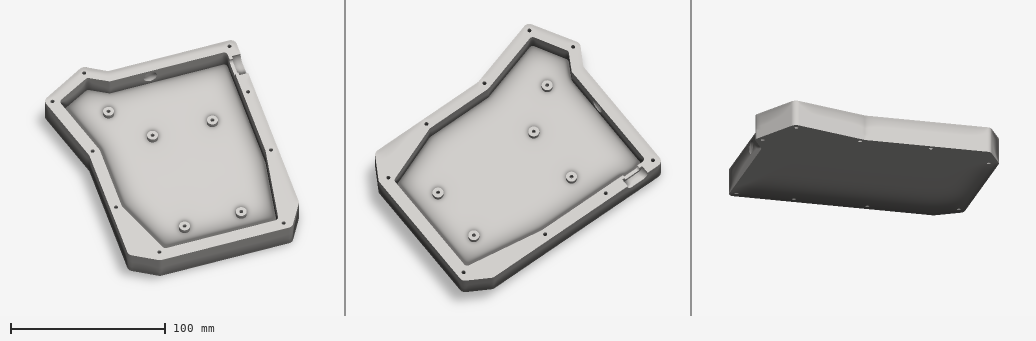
import cadquery as cq
import math

HEIGHT = 17.0
FLOOR = 4.0
TIP_REACH = 7.88
OVERALL_WIDTH = 162.94
WIDTH = OVERALL_WIDTH - TIP_REACH
DEPTH = 117.86
WALL = 8.25
LOWER_WALL = 7.8
OUTER_RADIUS = 4.0
CAVITY_RADIUS = 2.5

LEFT_BEND_Y = 32.0
TIP_ANGLE = 60.0
TIP_X = -TIP_REACH - OUTER_RADIUS * (1 / math.sin(math.radians(TIP_ANGLE)) - 1)
TIP_Y = LEFT_BEND_Y + TIP_X * math.tan(math.radians(TIP_ANGLE))
FOOT = (9.97, -14.93)
FOOT_BEND_X = 60.9
RIGHT_CHAMFER_ANGLE = 60.0
RIGHT_CHAMFER_X = 10.5
RIGHT_CHAMFER_Y = RIGHT_CHAMFER_X * math.tan(math.radians(RIGHT_CHAMFER_ANGLE))
TOP_CHAMFER_ANGLE = 30.0
TOP_CHAMFER_X = 17.5
TOP_CHAMFER_Y = TOP_CHAMFER_X * math.tan(math.radians(TOP_CHAMFER_ANGLE))

OUTLINE = [
    (0, DEPTH),
    (WIDTH - TOP_CHAMFER_X, DEPTH),
    (WIDTH, DEPTH - TOP_CHAMFER_Y),
    (WIDTH, RIGHT_CHAMFER_Y),
    (WIDTH - RIGHT_CHAMFER_X, 0),
    (FOOT_BEND_X, 0),
    FOOT,
    (TIP_X, TIP_Y),
    (0, LEFT_BEND_Y),
]
CAVITY = [
    (WALL, DEPTH - WALL),
    (91.8, DEPTH - WALL),
    (WIDTH - WALL, 101.0),
    (WIDTH - WALL, 23.5),
    (105.9, LOWER_WALL),
    (58.7, LOWER_WALL),
    (13.7, -5.4),
    (1.0, 17.5),
    (WALL, 30.5),
]

SCREW_DIAMETER = 2.6
SCREW_POSITIONS = [
    (4.6, 112.7),
    (43.1, 113.2),
    (92.1, 113.2),
    (150.6, 103.3),
    (148.5, 19.8),
    (105.7, 3.9),
    (58.2, 3.1),
    (12.3, -9.6),
    (-3.2, 16.8),
]

STANDOFF_DIAMETER = 7.1
STANDOFF_HEIGHT = 3.0
STANDOFF_HOLE_DIAMETER = 2.5
STANDOFF_POSITIONS = [
    (50.7, 86.6),
    (50.7, 46.1),
    (126.4, 82.2),
    (126.4, 43.8),
    (23.8, 24.8),
]

CABLE_HOLE_DIAMETER = 9.0
CABLE_HOLE_Y = 58.0
CABLE_HOLE_Z = 10.9

NOTCH_X = 20.7
NOTCH_Z = 15.75
NOTCH_SPACING = 8.4
NOTCH_OUTER_DIAMETER = 8.0
NOTCH_INNER_DIAMETER = 4.0
NOTCH_OUTER_DEPTH = 6.0


def rounded_prism(corners, radius, bottom, top):
    prism = cq.Workplane("XY").workplane(offset=bottom).polyline(corners).close().extrude(top - bottom)
    return prism.edges("|Z").fillet(radius)


def cylinders(positions, diameter, bottom, top):
    plane = cq.Workplane("XY").workplane(offset=bottom)
    return plane.pushPoints(positions).circle(diameter / 2).extrude(top - bottom)


def notch_slot(diameter, depth):
    plane = cq.Workplane("XZ", origin=(NOTCH_X, DEPTH, NOTCH_Z))
    return plane.slot2D(NOTCH_SPACING + diameter, diameter).extrude(depth)


def cable_hole():
    plane = cq.Workplane("YZ", origin=(0, CABLE_HOLE_Y, CABLE_HOLE_Z))
    return plane.circle(CABLE_HOLE_DIAMETER / 2).extrude(WALL)


standoff_top = FLOOR + STANDOFF_HEIGHT

result = rounded_prism(OUTLINE, OUTER_RADIUS, 0, HEIGHT)
result = result.cut(rounded_prism(CAVITY, CAVITY_RADIUS, FLOOR, HEIGHT))
result = result.union(cylinders(STANDOFF_POSITIONS, STANDOFF_DIAMETER, 0, standoff_top))
result = result.cut(cylinders(STANDOFF_POSITIONS, STANDOFF_HOLE_DIAMETER, FLOOR, standoff_top))
result = result.cut(cylinders(SCREW_POSITIONS, SCREW_DIAMETER, 0, HEIGHT))
result = result.cut(notch_slot(NOTCH_OUTER_DIAMETER, NOTCH_OUTER_DEPTH))
result = result.cut(notch_slot(NOTCH_INNER_DIAMETER, WALL))
result = result.cut(cable_hole())